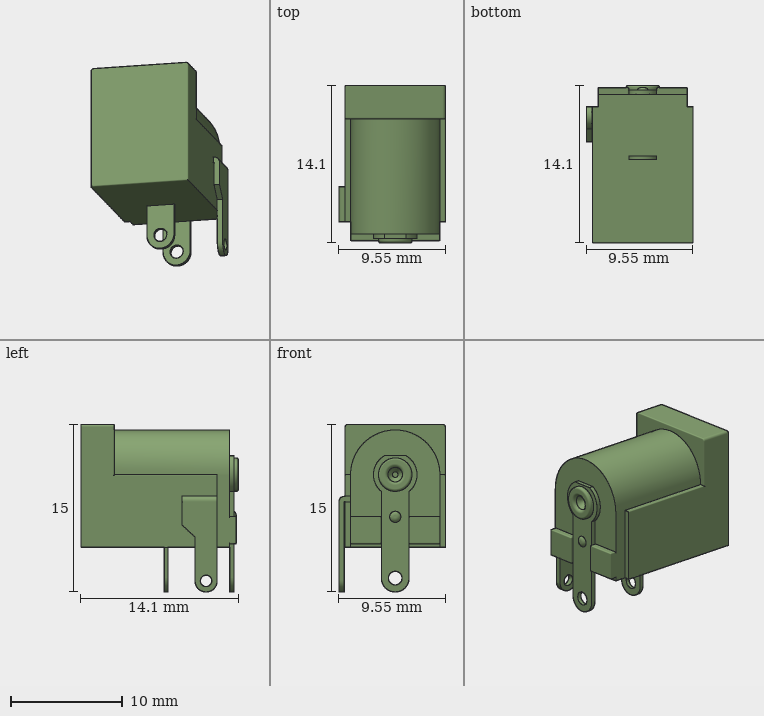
import cadquery as cq
import math


body_width = 9.0
body_height = 11.0
barrel_radius = 4.0
axis_height = 6.5
collar_depth = 3.0
side_wall_end = -12.2
barrel_end = -13.3
top_edge_radius = 0.25
edge_radius = 0.1

foot_top = 2.78
foot_bottom = 0.3
foot_projection = 0.6
foot_edge_radius = 0.1

terminal_bottom = -4.0

rear_width = 2.5
rear_thickness = 0.4
rear_head_radius = 1.95
rear_head_flat = 1.7
rear_hole_diameter = 1.2
dimple_height = 2.73
dimple_radius = 0.5
dimple_flat_radius = 0.15
dimple_projection = 0.2

middle_thickness = 0.35
middle_front = -7.8
middle_hole_diameter = 1.2
middle_embedded = 2.0

side_thickness = 0.5
side_outer_x = -5.05
side_top = 4.57
side_length = 3.15
side_leg_width = 2.0
side_hole_diameter = 1.0
side_taper_top = 2.0
side_taper_bottom = 0.93

pin_head_diameter = 3.0
pin_head_height = 0.4
pin_head_fillet = 0.2
pin_shank_diameter = 2.0
pin_shank_length = 3.0
pin_bore_diameter = 1.3
pin_mouth_fillet = 0.3
pin_bore_depth = 0.9
pin_bore_tip_diameter = 0.5

rear_face = barrel_end - rear_thickness
pin_tip = rear_face - pin_head_height


def box(x_range, y_range, z_range):
    """Axis-aligned block between pairs of limits."""
    lengths = [abs(b - a) for a, b in (x_range, y_range, z_range)]
    lows = (min(x_range), min(y_range), min(z_range))
    return cq.Workplane("XY").box(*lengths, centered=False).translate(lows)


def rod(diameter, y_start, y_end, height):
    """Cylinder along Y at X = 0."""
    plane = cq.Workplane("XZ", origin=(0, y_start, height))
    return plane.circle(diameter / 2).extrude(y_start - y_end)


def round_ended_leg(width, top, y_front, thickness):
    """Upright strip facing Y with a full-radius lower end."""
    radius = width / 2
    return (
        cq.Workplane("XZ", origin=(0, y_front + thickness, 0))
        .moveTo(-radius, top)
        .lineTo(-radius, terminal_bottom + radius)
        .threePointArc((0, terminal_bottom), (radius, terminal_bottom + radius))
        .lineTo(radius, top)
        .close()
        .extrude(thickness)
    )


def make_foot():
    """Left foot, with rounded edges."""
    return (
        box(
            (-barrel_radius, -rear_width / 2),
            (barrel_end, barrel_end - foot_projection),
            (foot_bottom, foot_top),
        )
        .edges("|Y or <Y")
        .fillet(foot_edge_radius)
    )


def make_housing():
    half_width = body_width / 2

    body = (
        cq.Workplane("YZ", origin=(-half_width, 0, 0))
        .polyline([
            (0, 0),
            (0, body_height),
            (-collar_depth, body_height),
            (-collar_depth, axis_height),
            (side_wall_end, axis_height),
            (side_wall_end, 0),
        ])
        .close()
        .extrude(body_width)
    )
    body = body.faces(">Z").edges("|Y").fillet(top_edge_radius)
    body = body.faces(">Y").edges().fillet(edge_radius)

    collar_edges = body.faces("-Y").faces(">Y").edges("not <Z")
    shoulder_edges = body.faces("+Z").faces("<Z").edges("|Y")
    body = body.newObject(collar_edges.vals() + shoulder_edges.vals()).fillet(edge_radius)

    barrel = (
        cq.Workplane("XZ", origin=(0, -collar_depth / 2, 0))
        .moveTo(-barrel_radius, 0)
        .lineTo(-barrel_radius, axis_height)
        .threePointArc((0, axis_height + barrel_radius), (barrel_radius, axis_height))
        .lineTo(barrel_radius, 0)
        .close()
        .extrude(-collar_depth / 2 - barrel_end)
    )
    foot = make_foot()
    return body.union(barrel).union(foot).union(foot.mirror("YZ"))


def make_rear_terminal():
    leg = round_ended_leg(rear_width, axis_height, rear_face, rear_thickness)
    head = rod(2 * rear_head_radius, barrel_end, rear_face, axis_height)
    above_flat = box(
        (-rear_head_radius, rear_head_radius),
        (barrel_end, rear_face),
        (axis_height + rear_head_flat, axis_height + rear_head_radius),
    )
    hole = rod(rear_hole_diameter, barrel_end, rear_face, terminal_bottom + rear_width / 2)
    pin_hole = rod(pin_shank_diameter, barrel_end, rear_face, axis_height)
    return leg.union(head.cut(above_flat)).union(make_dimple()).cut(hole).cut(pin_hole)


def make_dimple():
    """Low dome on the terminal, tangent to a small flat top."""
    run = dimple_radius - dimple_flat_radius
    arc_radius = (run**2 + dimple_projection**2) / (2 * dimple_projection)
    half_angle = math.asin(run / arc_radius) / 2
    middle = (
        dimple_flat_radius + arc_radius * math.sin(half_angle),
        -dimple_projection + arc_radius * (1 - math.cos(half_angle)),
    )
    return (
        cq.Workplane("XY", origin=(0, rear_face, dimple_height))
        .lineTo(dimple_radius, 0)
        .threePointArc(middle, (dimple_flat_radius, -dimple_projection))
        .lineTo(0, -dimple_projection)
        .close()
        .revolve(360, (0, 0), (0, 1))
    )


def make_middle_terminal():
    leg = round_ended_leg(rear_width, middle_embedded, middle_front, middle_thickness)
    hole = rod(
        middle_hole_diameter,
        middle_front + middle_thickness,
        middle_front,
        terminal_bottom + rear_width / 2,
    )
    return leg.cut(hole)


def make_side_terminal():
    leg_radius = side_leg_width / 2
    leg_center = side_wall_end + leg_radius
    leg_back = side_wall_end + side_leg_width
    back = side_wall_end + side_length
    leg_round = terminal_bottom + leg_radius

    plate = (
        cq.Workplane("YZ", origin=(side_outer_x, 0, 0))
        .moveTo(side_wall_end, side_top)
        .lineTo(side_wall_end, leg_round)
        .threePointArc((leg_center, terminal_bottom), (leg_back, leg_round))
        .lineTo(leg_back, side_taper_bottom)
        .lineTo(back, side_taper_top)
        .lineTo(back, side_top)
        .close()
        .moveTo(leg_center, leg_round)
        .circle(side_hole_diameter / 2)
        .extrude(side_thickness)
    )

    flange = box(
        (side_outer_x, -barrel_radius),
        (side_wall_end, back),
        (side_top - side_thickness, side_top),
    )
    bend_middle = (side_outer_x, (side_wall_end + back) / 2, side_top)
    outer_bend = cq.selectors.NearestToPointSelector(bend_middle)
    return plate.union(flange).edges("|Y").edges(outer_bend).fillet(side_thickness)


def make_pin():
    head = rod(pin_head_diameter, rear_face, pin_tip, axis_height)
    head = head.faces("<Y").edges().fillet(pin_head_fillet)
    shank = rod(pin_shank_diameter, rear_face + pin_shank_length, rear_face, axis_height)

    bore_radius = pin_bore_diameter / 2
    mouth_radius = bore_radius + pin_mouth_fillet
    arc_offset = pin_mouth_fillet * math.sqrt(0.5)
    mouth_middle = (mouth_radius - arc_offset, pin_mouth_fillet - arc_offset)
    bore = (
        cq.Workplane("XY", origin=(0, pin_tip, axis_height))
        .lineTo(mouth_radius, 0)
        .threePointArc(mouth_middle, (bore_radius, pin_mouth_fillet))
        .lineTo(pin_bore_tip_diameter / 2, pin_bore_depth)
        .lineTo(0, pin_bore_depth)
        .close()
        .revolve(360, (0, 0), (0, 1))
    )
    return head.union(shank).cut(bore)


rear_terminal = make_rear_terminal()
middle_terminal = make_middle_terminal()
side_terminal = make_side_terminal()
pin = make_pin()

pin_socket = rod(pin_shank_diameter, rear_face + pin_shank_length, barrel_end, axis_height)
housing = make_housing().cut(pin_socket).cut(middle_terminal).cut(side_terminal)

result = cq.Compound.makeCompound([
    housing.val(),
    rear_terminal.val(),
    middle_terminal.val(),
    side_terminal.val(),
    pin.val(),
])